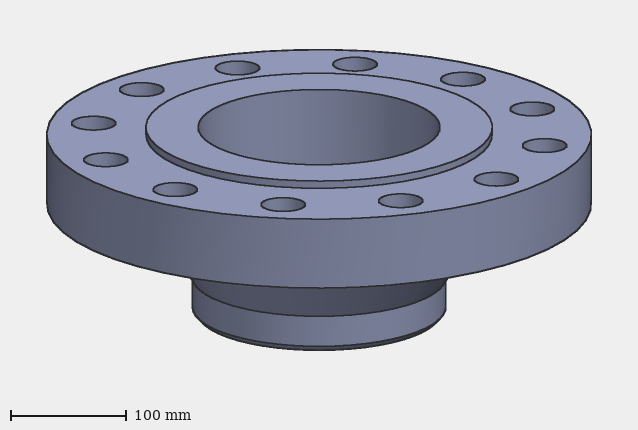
import cadquery as cq

flange_diameter = 470.0
total_height = 168.0

flange_thickness = 62.5
raised_face_diameter = 299.0
raised_face_height = 6.5

hub_diameter = raised_face_diameter
neck_diameter = 219.0
neck_height = 32.5
weld_bevel_height = 5.0
weld_bevel_width = 4.5

bore_diameter = 208.5
bolt_count = 12
bolt_hole_diameter = 38.0
bolt_circle_diameter = 394.0
bolt_spacing_angle = 360 / bolt_count

flange_top = total_height - raised_face_height
flange_bottom = flange_top - flange_thickness


def flange_body():
    """Revolve the half section of the flange, hub and neck around Z."""
    bore_radius = bore_diameter / 2
    neck_radius = neck_diameter / 2
    flange_radius = flange_diameter / 2
    face_radius = raised_face_diameter / 2
    return (
        cq.Workplane("XZ")
        .moveTo(bore_radius, 0)
        .lineTo(neck_radius - weld_bevel_width, 0)
        .lineTo(neck_radius, weld_bevel_height)
        .lineTo(neck_radius, neck_height)
        .lineTo(hub_diameter / 2, flange_bottom)
        .lineTo(flange_radius, flange_bottom)
        .lineTo(flange_radius, flange_top)
        .lineTo(face_radius, flange_top)
        .lineTo(face_radius, total_height)
        .lineTo(bore_radius, total_height)
        .close()
        .revolve(360, (0, 0, 0), (0, 1, 0))
    )


def bolt_holes():
    """Ring of through holes straddling the X and Y axes."""
    return (
        cq.Workplane("XY")
        .workplane(offset=flange_bottom)
        .polarArray(bolt_circle_diameter / 2, bolt_spacing_angle / 2, 360, bolt_count)
        .circle(bolt_hole_diameter / 2)
        .extrude(flange_thickness)
    )


result = flange_body().cut(bolt_holes())